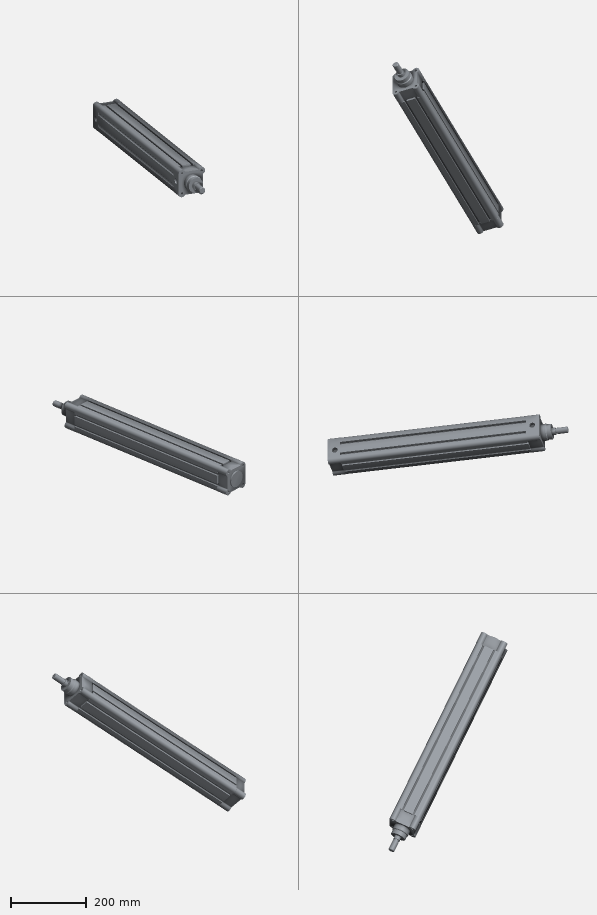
import cadquery as cq
import math


SIDE = 76.0
HALF_SIDE = SIDE / 2
TUBE_SIDE = 75.5
SCREW_OFFSET = 28.5
CORNER_RADIUS = HALF_SIDE - SCREW_OFFSET

REAR_CAP_START = 4.0
TUBE_START = 37.0
TUBE_END = 539.5
FRONT_CAP_END = 574.5
COLLAR_STEP = 588.0
COLLAR_END = 601.5
ROD_SHOULDER = 611.0
THREAD_START = 615.0
ROD_END = 644.0

CAP_RECESS = 6.0
LOBE_ROOT_RADIUS = 2.0
SPIGOT_RADIUS = 22.5
SCREW_HOLE_DIAMETER = 7.0
SCREW_HOLE_DEPTH = 16.0
PORT_DIAMETER = 15.5
PORT_DEPTH = 9.5
REAR_PORT_X = 23.0
REAR_PORT_Z = -3.0
FRONT_PORT_X = 556.0
FRONT_PORT_Z = 2.5
COLLAR_TIP_RADIUS = 20.5
COLLAR_TAPER = 2.0

SLOT_SPACING = 31.0
SLOT_WIDTH = 6.0
SLOT_LIP = 3.0
SLOT_UNDERCUT_WIDTH = 8.5
SLOT_DEPTH = 8.0
TAPER_SLOT_SPACING = 33.0
TAPER_SLOT_MOUTH = 8.0
TAPER_SLOT_FLOOR = 4.0
TAPER_SLOT_DEPTH = 6.0

ROD_DIAMETER = 20.0
ROD_RADIUS = ROD_DIAMETER / 2
FLAT_START = 603.5
ACROSS_FLATS = 17.0
UNDERCUT_RADIUS = 7.0
THREAD_RADIUS = 8.5
THREAD_CHAMFER = 1.0


def section_plane(x):
    """Plane across the cylinder axis: local x is Y, local y is Z, normal is +X."""
    return cq.Workplane("YZ", origin=(x, 0, 0))


def rounded_bar(side, start, end):
    """Square bar between two stations, its long edges rounded about the screw axes."""
    bar = section_plane(start).rect(side, side).extrude(end - start)
    return bar.edges("|X").fillet(side / 2 - SCREW_OFFSET)


def turned(profile):
    """Solid of revolution about the cylinder axis from (x, radius) points."""
    return cq.Workplane("XY").polyline(profile).close().revolve(360, (0, 0, 0), (1, 0, 0))


def cap_block(start, end):
    """Cap with round corner lobes, recessed on +Z, +Y and -Z and flat on the -Y port side."""
    recess_floor = HALF_SIDE - CAP_RECESS

    root_z = recess_floor + LOBE_ROOT_RADIUS
    centre_distance = CORNER_RADIUS + LOBE_ROOT_RADIUS
    root_y = SCREW_OFFSET - math.sqrt(centre_distance**2 - (root_z - SCREW_OFFSET) ** 2)

    lobe_share = CORNER_RADIUS / centre_distance
    lobe_y = SCREW_OFFSET + (root_y - SCREW_OFFSET) * lobe_share
    lobe_z = SCREW_OFFSET + (root_z - SCREW_OFFSET) * lobe_share

    recess = (
        section_plane(start)
        .moveTo(-root_y, recess_floor)
        .lineTo(root_y, recess_floor)
        .radiusArc((lobe_y, lobe_z), -LOBE_ROOT_RADIUS)
        .radiusArc((SCREW_OFFSET, HALF_SIDE), CORNER_RADIUS)
        .lineTo(-SCREW_OFFSET, HALF_SIDE)
        .radiusArc((-lobe_y, lobe_z), CORNER_RADIUS)
        .radiusArc((-root_y, recess_floor), -LOBE_ROOT_RADIUS)
        .close()
        .extrude(end - start)
    )
    block = rounded_bar(SIDE, start, end)
    for angle in (0, 90, 180):
        block = block.cut(recess.rotate((0, 0, 0), (1, 0, 0), -angle))
    return block


def screw_holes(start):
    """Four blind corner holes running in +X from a station."""
    spacing = 2 * SCREW_OFFSET
    return (
        section_plane(start)
        .rect(spacing, spacing, forConstruction=True)
        .vertices()
        .circle(SCREW_HOLE_DIAMETER / 2)
        .extrude(SCREW_HOLE_DEPTH)
    )


def port(x, z):
    """Blind air port in the -Y side."""
    return (
        cq.Workplane("XZ", origin=(x, -HALF_SIDE, z))
        .circle(PORT_DIAMETER / 2)
        .extrude(-PORT_DEPTH)
    )


def make_rear_cap():
    spigot = section_plane(0).circle(SPIGOT_RADIUS).extrude(REAR_CAP_START)
    cap = cap_block(REAR_CAP_START, TUBE_START).union(spigot)
    return cap.cut(screw_holes(REAR_CAP_START)).cut(port(REAR_PORT_X, REAR_PORT_Z))


def slot_pair(offset, half_profile):
    """Two full-length slots in the +Z side, from (half width, depth) points going down."""
    surface = TUBE_SIDE / 2
    left = [(offset - half_width, surface - depth) for half_width, depth in half_profile]
    right = [(offset + half_width, surface - depth) for half_width, depth in reversed(half_profile)]
    slot = section_plane(TUBE_START).polyline(left + right).close().extrude(TUBE_END - TUBE_START)
    return slot.union(slot.mirror("XZ"))


def make_tube():
    tube = rounded_bar(TUBE_SIDE, TUBE_START, TUBE_END)
    undercut_slots = slot_pair(SLOT_SPACING / 2, [
        (SLOT_WIDTH / 2, 0),
        (SLOT_WIDTH / 2, SLOT_LIP),
        (SLOT_UNDERCUT_WIDTH / 2, SLOT_LIP),
        (SLOT_UNDERCUT_WIDTH / 2, SLOT_DEPTH),
    ])
    for angle in (0, 180, 270):
        tube = tube.cut(undercut_slots.rotate((0, 0, 0), (1, 0, 0), angle))
    tapered_slots = slot_pair(TAPER_SLOT_SPACING / 2, [
        (TAPER_SLOT_MOUTH / 2, 0),
        (TAPER_SLOT_FLOOR / 2, TAPER_SLOT_DEPTH),
    ])
    return tube.cut(tapered_slots.rotate((0, 0, 0), (1, 0, 0), 90))


def make_front_cap():
    collar = turned([
        (FRONT_CAP_END, 0),
        (FRONT_CAP_END, SPIGOT_RADIUS),
        (COLLAR_STEP, SPIGOT_RADIUS),
        (COLLAR_STEP + COLLAR_TAPER, COLLAR_TIP_RADIUS),
        (COLLAR_END, COLLAR_TIP_RADIUS),
        (COLLAR_END, 0),
    ])
    rod_bore = section_plane(TUBE_END).circle(ROD_RADIUS).extrude(COLLAR_END - TUBE_END)
    cap = cap_block(TUBE_END, FRONT_CAP_END).union(collar)
    cap = cap.cut(screw_holes(FRONT_CAP_END - SCREW_HOLE_DEPTH))
    return cap.cut(rod_bore).cut(port(FRONT_PORT_X, FRONT_PORT_Z))


def make_rod():
    """Rod seated in the front cap bore, with wrench flats, undercut and chamfered thread end."""
    rod = turned([
        (TUBE_END, 0),
        (TUBE_END, ROD_RADIUS),
        (ROD_SHOULDER, ROD_RADIUS),
        (ROD_SHOULDER, UNDERCUT_RADIUS),
        (THREAD_START, UNDERCUT_RADIUS),
        (THREAD_START, THREAD_RADIUS),
        (ROD_END - THREAD_CHAMFER, THREAD_RADIUS),
        (ROD_END, THREAD_RADIUS - THREAD_CHAMFER),
        (ROD_END, 0),
    ])
    flat_length = ROD_SHOULDER - FLAT_START
    flat_middle = (FLAT_START + ROD_SHOULDER) / 2
    flat_cut_y = (ACROSS_FLATS + ROD_RADIUS) / 2
    for side in (-1, 1):
        flat_cut = cq.Workplane("XY").box(flat_length, ROD_RADIUS, 2 * ROD_RADIUS)
        rod = rod.cut(flat_cut.translate((flat_middle, side * flat_cut_y, 0)))
    return rod


rear_cap = make_rear_cap()
tube = make_tube()
front_cap = make_front_cap()
rod = make_rod()

result = cq.Compound.makeCompound([rear_cap.val(), tube.val(), front_cap.val(), rod.val()])